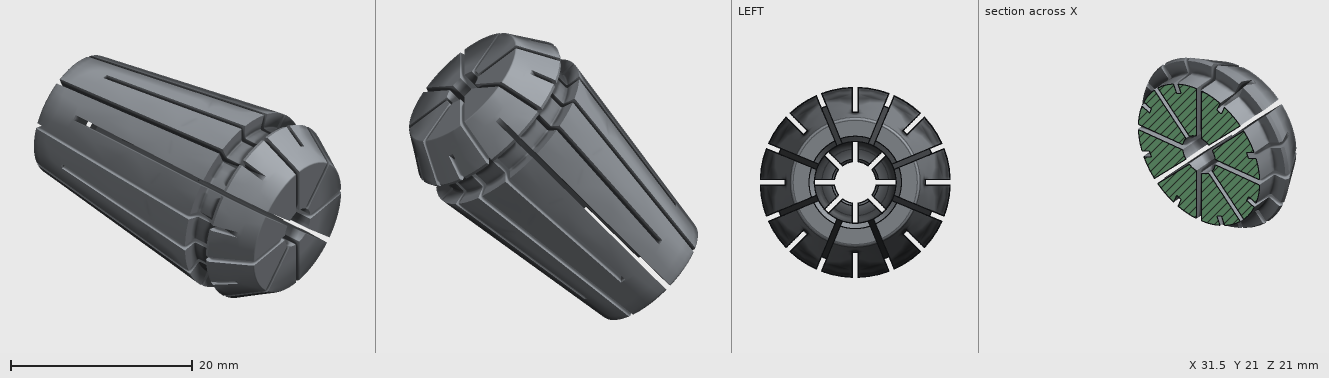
import cadquery as cq
import math

length = 31.5
taper_length = 23.9
taper_angle = 8.0
max_radius = 10.5
back_radius = max_radius - taper_length * math.tan(math.radians(taper_angle))
back_rounding = 0.3

groove_end = 26.65
groove_radius = 8.7
groove_rounding = 0.2

rim_end = 27.05
rim_back_radius = 10.25
rim_radius = 10.43
nose_angle = 30.0
front_radius = rim_radius - (length - rim_end) * math.tan(math.radians(nose_angle))
front_rounding = 0.2

clearance_radius = 9.0 / 2
mouth_radius = 5.1
mouth_depth = 1.07
step_position = 16.38
step_rounding = 0.82
clamp_radius = 2.3
clamp_chamfer = 0.28

slots_per_set = 8
slot_pitch = 360.0 / slots_per_set
slot_width = 0.63
front_slot_start = 4.55
back_slot_end = 29.5
back_slot_floor_radius = 8.98
back_slot_floor_angle = 15.0
overrun = 1.58

def circle_edge(x, radius):
    """Selector for the circular edge of the given radius around the X axis at x."""
    margin = 0.015
    return cq.selectors.BoxSelector(
        (x - margin, -radius - margin, -radius - margin),
        (x + margin, radius + margin, radius + margin),
        boundingbox=True,
    )

def turned(points):
    """Solid of revolution of an (x, radius) outline about the X axis."""
    return cq.Workplane("XY").polyline(points).close().revolve(360, (0, 0, 0), (1, 0, 0))

def outer_body():
    body = turned([
        (0, 0),
        (0, back_radius),
        (taper_length, max_radius),
        (taper_length, groove_radius),
        (groove_end, groove_radius),
        (groove_end, rim_back_radius),
        (rim_end, rim_radius),
        (length, front_radius),
        (length, 0),
    ])
    body = body.edges(circle_edge(0, back_radius)).fillet(back_rounding)
    body = body.edges(circle_edge(length, front_radius)).fillet(front_rounding)
    for x in (taper_length, groove_end):
        body = body.edges(circle_edge(x, groove_radius)).fillet(groove_rounding)
    return body

def bore():
    clearance = turned([
        (0, 0),
        (0, mouth_radius),
        (mouth_depth, clearance_radius),
        (step_position, clearance_radius),
        (step_position, 0),
    ])
    clearance = clearance.edges(circle_edge(step_position, clearance_radius)).fillet(step_rounding)
    clamping_hole = turned([
        (step_position, 0),
        (step_position, clamp_radius + clamp_chamfer),
        (step_position + clamp_chamfer, clamp_radius),
        (length, clamp_radius),
        (length, 0),
    ])
    return clearance.union(clamping_hole)

def slot_cutter(outline):
    """Radial slot blade standing on the X axis, from an outline of (x, height) points."""
    return cq.Workplane("XZ").polyline(outline).close().extrude(slot_width / 2, both=True)

def front_slot():
    top = max_radius + overrun
    return slot_cutter([
        (front_slot_start, 0),
        (front_slot_start, top),
        (length + overrun, top),
        (length + overrun, 0),
    ])

def back_slot():
    """Slot whose floor slopes outward from the axis toward the nose."""
    top = max_radius + overrun
    floor_run = back_slot_floor_radius / math.tan(math.radians(back_slot_floor_angle))
    return slot_cutter([
        (-overrun, 0),
        (-overrun, top),
        (back_slot_end, top),
        (back_slot_end, back_slot_floor_radius),
        (back_slot_end - floor_run, 0),
    ])

result = outer_body().cut(bore())
for index in range(slots_per_set):
    angle = index * slot_pitch
    result = result.cut(front_slot().rotate((0, 0, 0), (1, 0, 0), angle))
    result = result.cut(back_slot().rotate((0, 0, 0), (1, 0, 0), angle + slot_pitch / 2))

result = result.translate((-length / 2, 0, 0))